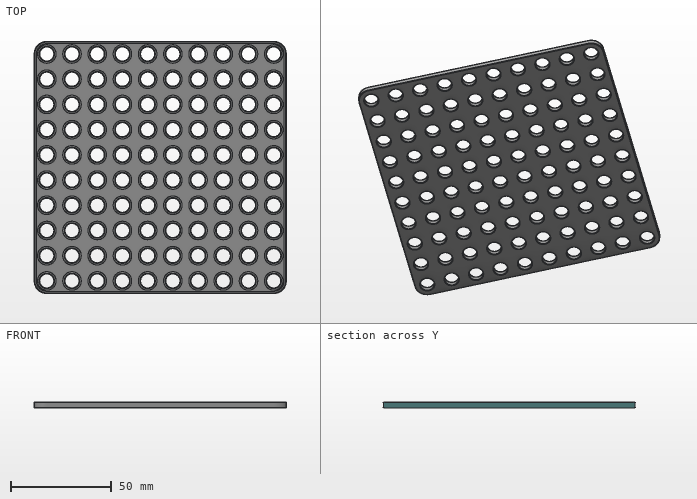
import cadquery as cq

hole_pitch = 12.5
holes_per_side = 10
plate_side = hole_pitch * holes_per_side
plate_thickness = hole_pitch / 4
corner_radius = hole_pitch / 2

hole_diameter = 7.0
hole_radius = hole_diameter / 2

edge_chamfer = 0.3

recess_depth = 0.2
ring_diameter = 9.2
lip_width = (ring_diameter - hole_diameter) / 2


def rounded_square(side, radius, height):
    """Square block with rounded vertical corners, base on Z = 0."""
    return cq.Workplane("XY").rect(side, side).extrude(height).edges("|Z").fillet(radius)


def repeat_on_grid(shape):
    """Copies of a shape at every hole position."""
    return (
        cq.Workplane("XY")
        .rarray(hole_pitch, hole_pitch, holes_per_side, holes_per_side)
        .eachpoint(lambda location: shape.moved(location), combine="a")
    )


def make_plate():
    """Plain plate with both outer edges chamfered."""
    plate = rounded_square(plate_side, corner_radius, plate_thickness)
    return plate.faces("<Z or >Z").chamfer(edge_chamfer)


def make_recess():
    """Volume removed from the top face, everywhere inside the lip except the rings."""
    pocket = rounded_square(plate_side - 2 * lip_width, corner_radius - lip_width, recess_depth)
    ring_pad = cq.Workplane("XY").circle(ring_diameter / 2).extrude(recess_depth)
    recess = pocket.cut(repeat_on_grid(ring_pad.val()))
    return recess.translate((0, 0, plate_thickness - recess_depth))


def make_hole_cutter():
    """Revolved cutter for one hole, widening at both ends for the chamfered mouths."""
    mouth_radius = hole_radius + edge_chamfer
    profile = [
        (0, 0),
        (mouth_radius, 0),
        (hole_radius, edge_chamfer),
        (hole_radius, plate_thickness - edge_chamfer),
        (mouth_radius, plate_thickness),
        (0, plate_thickness),
    ]
    return cq.Workplane("XZ").polyline(profile).close().revolve(360, (0, 0), (0, 1))


plate = make_plate().cut(make_recess())
result = plate.cut(repeat_on_grid(make_hole_cutter().val()))